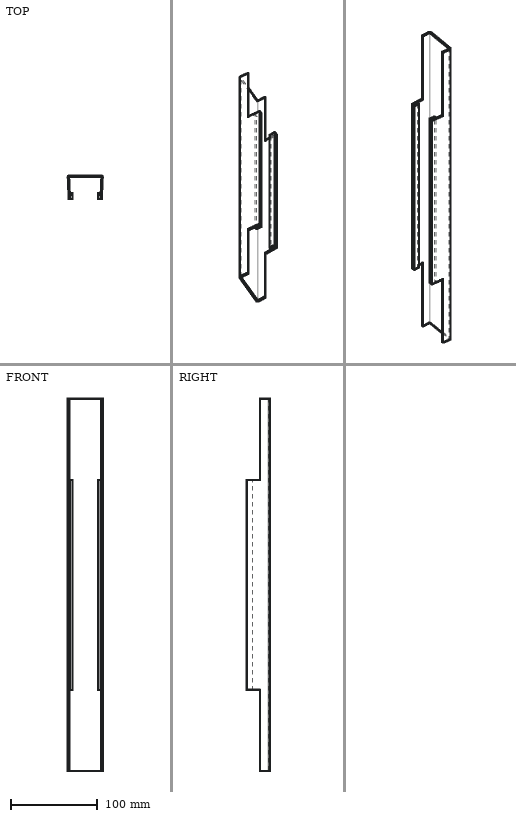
import cadquery as cq
import math

length = 430.0
width = 40.5
depth = 27.0
sheet = 1.6
bend_radius = 1.98
lean = 1.15

middle_length = 242.5
end_depth = 11.5

pad_thickness = 3.0
pad_depth = 7.0

back = depth / 2
front = -depth / 2
half_width = width / 2
lean_angle = math.atan2(lean, depth)
corner_x = half_width + bend_radius * (math.tan(lean_angle) + 1 / math.cos(lean_angle) - 1)


def leg_x(y, inset=0.0):
    """X of the right leg's outer face at y, or of a parallel face set inward by inset."""
    return corner_x - (back - y) * math.tan(lean_angle) - inset / math.cos(lean_angle)


def make_channel():
    right_points = [
        (leg_x(back), back),
        (leg_x(front), front),
        (leg_x(front, sheet), front),
        (leg_x(back - sheet, sheet), back - sheet),
    ]
    left_points = [(-x, y) for x, y in reversed(right_points)]
    body = cq.Workplane("XY").polyline(right_points + left_points).close().extrude(length / 2, both=True)
    body = body.edges("|Z").edges(">Y").fillet(bend_radius)
    inner_corners = cq.selectors.BoxSelector(
        (-width, back - 1.5 * sheet, -length), (width, back - sheet / 2, length)
    )
    body = body.edges("|Z").edges(inner_corners).fillet(bend_radius - sheet)
    for end in (-1, 1):
        body = body.cut(make_end_cut(end))
    return body


def make_end_cut(end):
    """Block that shortens both legs at one end; end is +1 for the top and -1 for the bottom."""
    cut_length = (length - middle_length) / 2
    cut_depth = depth - end_depth
    center_z = end * (length - cut_length) / 2
    return cq.Workplane("XY").box(width, cut_depth, cut_length).translate((0, front + cut_depth / 2, center_z))


def make_pad(side):
    """Strip inside one leg tip; side is +1 for the right leg and -1 for the left."""
    pad_back = front + pad_depth
    points = [
        (leg_x(front, sheet), front),
        (leg_x(pad_back, sheet), pad_back),
        (leg_x(pad_back, sheet + pad_thickness), pad_back),
        (leg_x(front, sheet + pad_thickness), front),
    ]
    outline = [(side * x, y) for x, y in points]
    return cq.Workplane("XY").polyline(outline).close().extrude(middle_length / 2, both=True)


channel = make_channel()
pads = [make_pad(side) for side in (-1, 1)]

result = cq.Compound.makeCompound([channel.val(), *[pad.val() for pad in pads]])